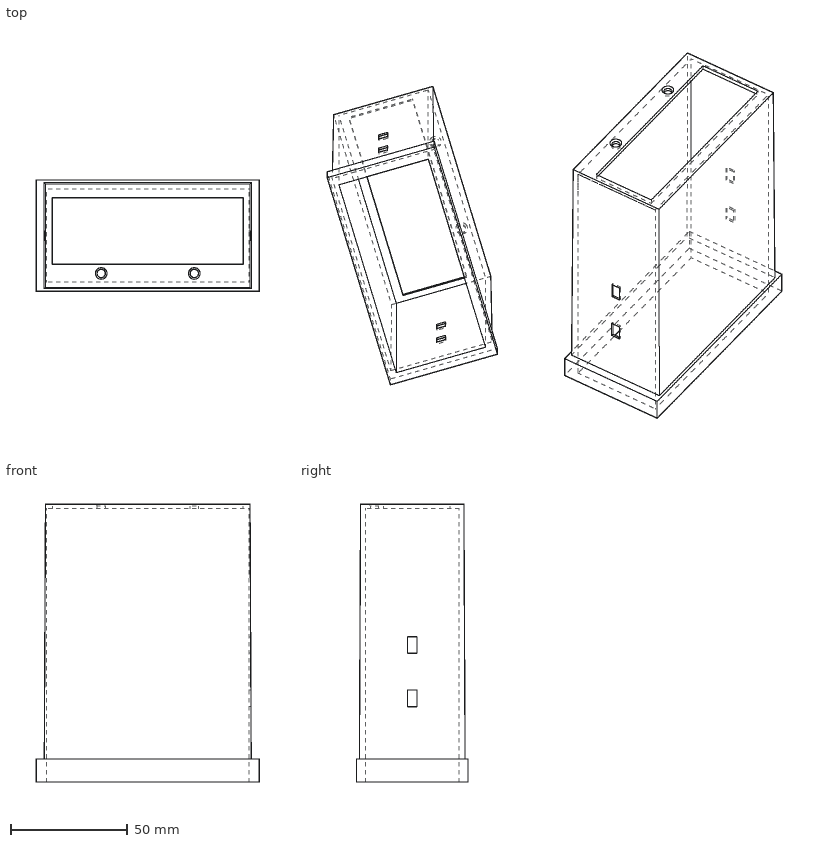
import cadquery as cq

flange_length = 96.0
flange_width = 48.0
flange_height = 10.0

total_height = 119.5
foot_length = 89.0
foot_width = 45.5
taper_inset = 0.5
body_height = total_height - flange_height

window_length = 82.0
window_width = 28.5
window_center_y = 2.0
top_wall = 2.0

cavity_length = 87.0
cavity_width = 40.0

screw_spacing = 40.0
screw_y = -16.25
screw_diameter = 3.5
countersink_diameter = 5.0
countersink_depth = (countersink_diameter - screw_diameter) / 2

slot_width = 4.0
slot_height = 7.0
slot_centers_z = (36.0, 58.9)


def make_flange():
    return cq.Workplane("XY").box(flange_length, flange_width, flange_height, centered=(True, True, False))


def make_tapered_body():
    return (
        cq.Workplane("XY")
        .workplane(offset=flange_height)
        .rect(foot_length, foot_width)
        .workplane(offset=body_height)
        .rect(foot_length - 2 * taper_inset, foot_width - 2 * taper_inset)
        .loft(ruled=True)
    )


def cut_cavity(part):
    cavity = cq.Workplane("XY").box(
        cavity_length, cavity_width, total_height - top_wall, centered=(True, True, False)
    )
    return part.cut(cavity)


def cut_window(part):
    window = (
        cq.Workplane("XY")
        .center(0, window_center_y)
        .box(window_length, window_width, total_height, centered=(True, True, False))
    )
    return part.cut(window)


def cut_screw_holes(part):
    for x in (-screw_spacing / 2, screw_spacing / 2):
        top = cq.Workplane("XY", origin=(x, screw_y, total_height))
        shank = top.circle(screw_diameter / 2).extrude(-top_wall)
        countersink = (
            top.circle(countersink_diameter / 2)
            .workplane(offset=-countersink_depth)
            .circle(screw_diameter / 2)
            .loft()
        )
        part = part.cut(shank).cut(countersink)
    return part


def cut_slots(part):
    for z in slot_centers_z:
        slot = cq.Workplane("XY", origin=(0, 0, z)).box(flange_length, slot_width, slot_height)
        part = part.cut(slot)
    return part


result = make_flange().union(make_tapered_body())
result = cut_cavity(result)
result = cut_window(result)
result = cut_screw_holes(result)
result = cut_slots(result)